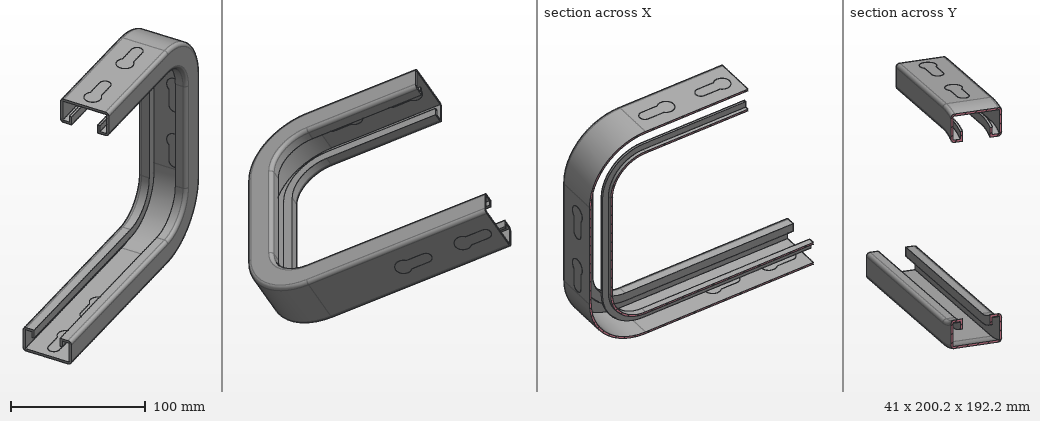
import cadquery as cq

channel_width = 41.0
channel_depth = 21.0
wall = 2.0
edge_radius = 3.0
mouth_width = 22.0
lip_depth = 7.2

plug_length = 30.0
head_diameter = 13.2
stem_width = 9.2
plug_projection = 0.1
plug_pitch = 50.0
plugs_per_run = 2
upper_first_tip = 55.7
lower_first_head = 114.1
back_first_head = 60.0

height = 192.2 - 2 * plug_projection
lower_arm_length = 200.2 - plug_projection
upper_arm_length = 141.7
bend_radius = 50.0

top_z = height / 2
bottom_z = -top_z
half_width = channel_width / 2
half_mouth = mouth_width / 2


def sweep_along_bracket(profile):
    """Sweep a profile on the upper arm's end along the outer web line."""
    bend_y = -bend_radius
    path = (
        cq.Workplane("YZ")
        .moveTo(-upper_arm_length, top_z)
        .lineTo(bend_y, top_z)
        .radiusArc((0, top_z - bend_radius), bend_radius)
        .lineTo(0, bottom_z + bend_radius)
        .radiusArc((bend_y, bottom_z), bend_radius)
        .lineTo(-lower_arm_length, bottom_z)
    )
    return profile.sweep(path)


def end_plane():
    """Plane on the upper arm's end, with local Y pointing up from the outer web face."""
    return cq.Workplane("XZ", origin=(0, -upper_arm_length, top_z))


def make_channel():
    """Lipped channel: rounded bar less its cavity and its mouth."""
    rounded_section = cq.Sketch().rect(channel_width, channel_depth).vertices().fillet(edge_radius)
    envelope = end_plane().center(0, -channel_depth / 2).placeSketch(rounded_section)
    cavity_half = half_width - wall
    lip_inside = half_mouth + wall
    lip_top = lip_depth - channel_depth
    flange_inside = wall - channel_depth
    cavity = end_plane().polyline([
        (-cavity_half, -wall),
        (cavity_half, -wall),
        (cavity_half, flange_inside),
        (lip_inside, flange_inside),
        (lip_inside, lip_top),
        (half_mouth, lip_top),
        (half_mouth, -channel_depth),
        (-half_mouth, -channel_depth),
        (-half_mouth, lip_top),
        (-lip_inside, lip_top),
        (-lip_inside, flange_inside),
        (-cavity_half, flange_inside),
    ]).close()
    return sweep_along_bracket(envelope).cut(sweep_along_bracket(cavity))


def make_plug(origin, stem_direction, outward):
    """Keyhole plug through the web; origin is the head end on the outer web face."""
    plane = cq.Plane(origin=origin, xDir=stem_direction, normal=outward)
    work = cq.Workplane(plane).workplane(offset=-wall - plug_projection)
    thickness = wall + 2 * plug_projection
    head_centre = head_diameter / 2
    stem_end = plug_length - stem_width / 2
    head = work.center(head_centre, 0).circle(head_diameter / 2).extrude(thickness)
    stem_run = stem_end - head_centre
    stem = work.center(head_centre + stem_run / 2, 0).rect(stem_run, stem_width).extrude(thickness)
    tip = work.center(stem_end, 0).circle(stem_width / 2).extrude(thickness)
    return head.union(stem).union(tip)


result = make_channel()
for index in range(plugs_per_run):
    step = index * plug_pitch
    upper_head_y = -(upper_first_tip + plug_length + step)
    lower_head_y = -(lower_first_head + step)
    back_head_z = top_z - back_first_head - step
    result = result.union(make_plug((0, upper_head_y, top_z), (0, 1, 0), (0, 0, 1)))
    result = result.union(make_plug((0, lower_head_y, bottom_z), (0, -1, 0), (0, 0, -1)))
    result = result.union(make_plug((0, 0, back_head_z), (0, 0, -1), (0, 1, 0)))